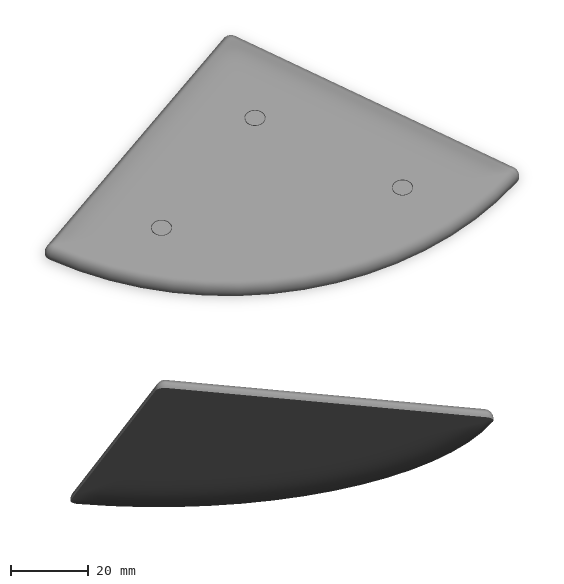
import cadquery as cq
import math

side = 90.0
thickness = 3.0
edge_radius = 2.5
ring_inset = side / 4
ring_outer_diameter = 5.5
ring_inner_diameter = 5.0
ring_depth = 0.5

arc_radius = math.hypot(side - edge_radius, edge_radius) + edge_radius


def quarter_disc_plate():
    """Quarter disc with rounded upright corners and a rounded top edge."""
    arc_reach = arc_radius * math.sqrt(0.5)
    sharp_plate = (
        cq.Workplane("XY")
        .moveTo(0, side)
        .lineTo(arc_radius, side)
        .threePointArc((arc_reach, side - arc_reach), (0, side - arc_radius))
        .close()
        .extrude(thickness)
    )
    return sharp_plate.edges("|Z or >Z").fillet(edge_radius)


def ring_grooves():
    """Narrow annular cuts sunk into the top face, one near each corner."""
    far_inset = side - ring_inset
    centers = [
        (ring_inset, ring_inset),
        (ring_inset, far_inset),
        (far_inset, far_inset),
    ]
    return (
        cq.Workplane("XY", origin=(0, 0, thickness - ring_depth))
        .pushPoints(centers)
        .circle(ring_outer_diameter / 2)
        .circle(ring_inner_diameter / 2)
        .extrude(ring_depth)
    )


result = quarter_disc_plate().cut(ring_grooves())